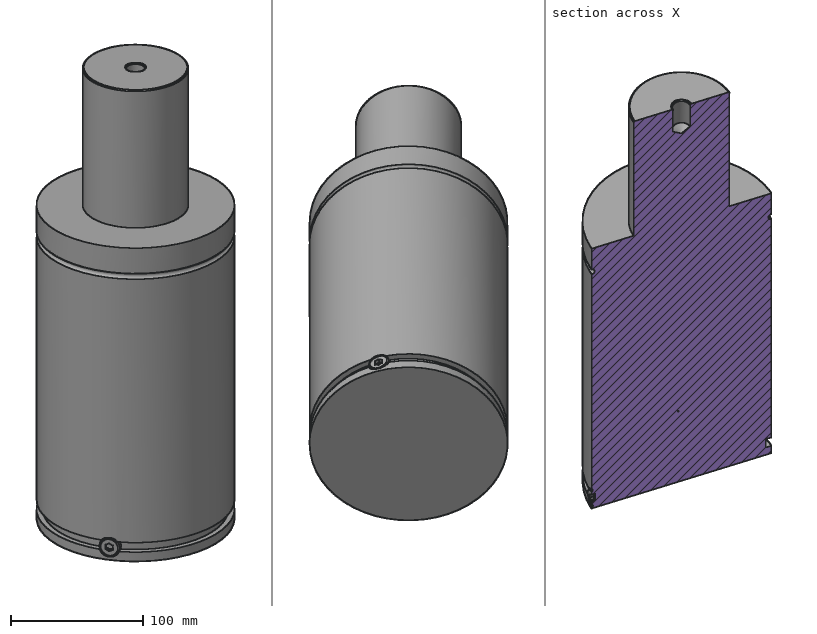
import cadquery as cq
import math

total_height = 380.0
body_diameter = 150.0
rod_diameter = 80.0
body_height = 264.0
rod_chamfer = 0.95

foot_height = 8.0
foot_groove_width = 8.0
foot_groove_depth = 4.5

head_height = 21.5
head_groove_width = 4.5
head_groove_depth = 2.3

rod_hole_diameter = 14.0
rod_hole_mouth_diameter = 16.0
rod_hole_depth = 22.8
drill_point_angle = 118.0

plug_height = 10.5
plug_diameter = 16.0
plug_depth = 7.5
plug_chamfer = 1.0
socket_corner_diameter = 7.0
socket_depth = 3.0

body_radius = body_diameter / 2


def make_cylinder_and_rod():
    """Cylinder body with the piston rod standing on top."""
    body = cq.Workplane("XY").circle(body_radius).extrude(body_height)
    rod = (
        cq.Workplane("XY")
        .workplane(offset=body_height)
        .circle(rod_diameter / 2)
        .extrude(total_height - body_height)
        .faces(">Z")
        .edges()
        .chamfer(rod_chamfer)
    )
    return body.union(rod)


def make_foot_groove():
    """Square-sided ring removed just above the foot."""
    return (
        cq.Workplane("XY")
        .workplane(offset=foot_height)
        .circle(body_radius)
        .circle(body_radius - foot_groove_depth)
        .extrude(foot_groove_width)
    )


def make_head_groove():
    """Round-bottomed ring removed just below the head."""
    top = body_height - head_height
    bottom = top - head_groove_width
    return (
        cq.Workplane("XZ")
        .moveTo(body_radius, bottom)
        .threePointArc(
            (body_radius - head_groove_depth, (top + bottom) / 2),
            (body_radius, top),
        )
        .close()
        .revolve(360, (0, 0, 0), (0, 1, 0))
    )


def make_rod_hole():
    """Blind hole down the rod axis, with a chamfered mouth and a conical bottom."""
    hole_bottom = total_height - rod_hole_depth
    straight = (
        cq.Workplane("XY")
        .workplane(offset=hole_bottom)
        .circle(rod_hole_diameter / 2)
        .extrude(rod_hole_depth)
    )
    point_height = rod_hole_diameter / 2 / math.tan(math.radians(drill_point_angle / 2))
    point = cq.Workplane(
        cq.Solid.makeCone(
            rod_hole_diameter / 2, 0, point_height,
            pnt=cq.Vector(0, 0, hole_bottom), dir=cq.Vector(0, 0, -1),
        )
    )
    mouth_depth = (rod_hole_mouth_diameter - rod_hole_diameter) / 2
    mouth = cq.Workplane(
        cq.Solid.makeCone(
            rod_hole_mouth_diameter / 2, rod_hole_diameter / 2, mouth_depth,
            pnt=cq.Vector(0, 0, total_height), dir=cq.Vector(0, 0, -1),
        )
    )
    return straight.union(point).union(mouth)


def plug_plane(distance):
    """Sketch plane facing -Y, centred on the plug at a distance from the body axis."""
    return cq.Workplane("XZ", origin=(0, -distance, plug_height))


def make_plug_seat():
    """Round pocket that clears the body in front of the plug chamfer."""
    return (
        plug_plane(body_radius - plug_chamfer)
        .circle(plug_diameter / 2)
        .extrude(plug_chamfer)
    )


def make_plug():
    """Chamfered round plug with a hexagonal key socket."""
    plug = (
        plug_plane(body_radius - plug_depth)
        .circle(plug_diameter / 2)
        .extrude(plug_depth)
        .faces("<Y")
        .edges()
        .chamfer(plug_chamfer)
    )
    socket = (
        plug_plane(body_radius - socket_depth)
        .transformed(rotate=(0, 0, 30))
        .polygon(6, socket_corner_diameter)
        .extrude(socket_depth)
    )
    return plug.cut(socket)


result = make_cylinder_and_rod()
result = result.cut(make_foot_groove())
result = result.cut(make_head_groove())
result = result.cut(make_rod_hole())
result = result.cut(make_plug_seat())
result = result.union(make_plug())